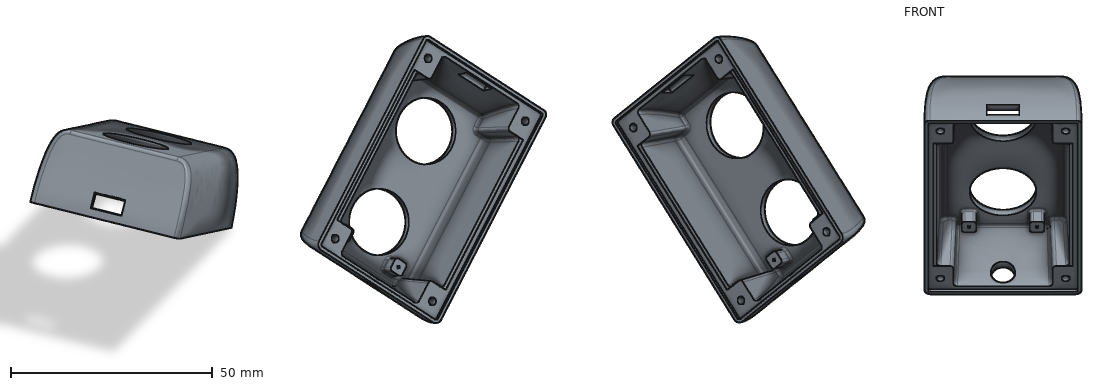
import cadquery as cq
import math

TILT = 45.0

LENGTH = 60.95
WIDTH = 39.0
DEPTH = 19.45
ROOF_EDGE_X = 13.95
SIDE_PULL = 15.7
SHOULDER_X = 17.85
END_PULL = 6.2
LOWER_LEAN = 5.1
UPPER_LEAN = 3.45
LOWER_END_FILLET = 1.75
UPPER_END_FILLET = 1.3

RIM = 0.9
SEAT_DEPTH = 1.0
SEAT_CORNER = 0.55

SIDE_WALL = 3.05
SIDE_WALL_LEAN = 0.8
END_WALL = 1.95
CAVITY_EXTRA_LEAN = 0.65
ROOF = 2.0
CAVITY_SHOULDER = 1.95
INNER_FILLET = 0.9
STEEP_EDGE = 5.4

RELIEF_INSET = 2.15
RELIEF_DEPTH = 0.1

POST_INNER_X = 12.3
POST_INNER_Y = 21.5
POST_DRAFT = 2.0
LID_HOLE_X = 15.5
LID_HOLE_Y = 25.8
LID_HOLE_DIAMETER = 2.0
LID_HOLE_DEPTH = 10.0

STUD_SIZE = 3.6
STUD_CORNER = 0.8
STUD_ROOT_FILLET = 0.65
STUD_LENGTH = 4.3
STUD_X = 8.45
STUD_Y = 20.0
STUD_HOLE_DIAMETER = 0.7
STUD_HOLE_DEPTH = 3.0

ROOF_HOLE_DIAMETER = 16.5
ROOF_HOLES_Y = (11.95, -14.05)
END_HOLE_DIAMETER = 6.0
END_HOLE_HEIGHT = 5.15
SLOT_WIDTH = 8.0
SLOT_HEIGHT = 4.0
SLOT_BOTTOM = 2.15

CEILING = DEPTH - ROOF
END_CUT = LENGTH / 2 - POST_INNER_Y


def between_ends(cross_section, inset, extra_lean):
    """Trim a block of XZ section, centred along Y, to the curved ends, moved in and leant further."""
    foot_y = LENGTH / 2 - inset
    lower_top = (foot_y - LOWER_LEAN - extra_lean, DEPTH)
    upper_top = (UPPER_LEAN + extra_lean - foot_y, DEPTH)
    lengthwise = (
        cq.Workplane("YZ", origin=(-WIDTH / 2, 0, 0))
        .moveTo(-foot_y, 0)
        .lineTo(foot_y, 0)
        .bezier([(foot_y, END_PULL), lower_top], includeCurrent=True)
        .lineTo(*upper_top)
        .bezier([(-foot_y, END_PULL), (-foot_y, 0)], includeCurrent=True)
        .close()
        .extrude(WIDTH)
    )
    return cross_section.extrude(LENGTH).intersect(lengthwise)


def cross_plane():
    """XZ plane at the lower end; sections extruded from it run the length of the case."""
    return cq.Workplane("XZ", origin=(0, LENGTH / 2, 0))


def outer_block():
    """Solid envelope: each side and its shoulder form one smooth curve into the flat roof."""
    foot_x = WIDTH / 2
    section = (
        cross_plane()
        .moveTo(-foot_x, 0)
        .lineTo(foot_x, 0)
        .bezier([(foot_x, SIDE_PULL), (SHOULDER_X, DEPTH), (ROOF_EDGE_X, DEPTH)], includeCurrent=True)
        .lineTo(-ROOF_EDGE_X, DEPTH)
        .bezier([(-SHOULDER_X, DEPTH), (-foot_x, SIDE_PULL), (-foot_x, 0)], includeCurrent=True)
        .close()
    )
    return between_ends(section, 0, 0)


def end_border(block, end):
    """Edges framing one end face, apart from the one on the open face."""
    edges = block.edges("not |X").vals() + block.edges("|X and >Z").vals()
    return [edge for edge in edges if end * edge.Center().y > POST_INNER_Y]


def outer_shell():
    """Envelope with the border of each end face rounded."""
    block = outer_block()
    for end, radius in ((1, LOWER_END_FILLET), (-1, UPPER_END_FILLET)):
        block = block.newObject(end_border(block, end)).fillet(radius)
    return block


def inner_block():
    """Envelope of the cavity: flat leaning walls rounded into the ceiling."""
    foot_x = WIDTH / 2 - SIDE_WALL
    top_x = foot_x - SIDE_WALL_LEAN
    corners = [(-foot_x, 0), (foot_x, 0), (top_x, CEILING), (-top_x, CEILING)]
    section = cross_plane().polyline(corners).close()
    return between_ends(section, END_WALL, CAVITY_EXTRA_LEAN).edges("|Y and >Z").fillet(CAVITY_SHOULDER)


def post_section(side, end, height):
    """Outline of a corner post at a given height; it grows inwards with height."""
    growth = (height - SEAT_DEPTH) * math.tan(math.radians(POST_DRAFT))
    inner_x = side * (POST_INNER_X - growth)
    inner_y = end * (POST_INNER_Y - growth)
    outer_x = side * WIDTH / 2
    outer_y = end * LENGTH / 2
    corners = [(inner_x, inner_y), (outer_x, inner_y), (outer_x, outer_y), (inner_x, outer_y)]
    return cq.Wire.makePolygon([cq.Vector(x, y, height) for x, y in corners], close=True)


def corner_post(side, end):
    """Post filling one cavity corner, widening towards the roof."""
    sections = [post_section(side, end, height) for height in (SEAT_DEPTH, DEPTH)]
    return cq.Workplane(cq.Solid.makeLoft(sections, True))


def fillet_where(body, edges, chosen):
    """Round those of the given edges whose centre passes the test."""
    picked = [edge for edge in edges.vals() if chosen(abs(edge.Center().x), abs(edge.Center().y))]
    return body.newObject(picked).fillet(INNER_FILLET)


def steep_edges(body):
    """Edges that climb at least the steep-edge height."""
    climbing = [edge for edge in body.edges().vals() if edge.BoundingBox().zlen > STEEP_EDGE]
    return body.newObject(climbing)


def cavity():
    """Hollow of the case: a smaller leaning block without the four posts."""
    hollow = inner_block()
    below_seat = cq.Workplane("XY").rect(WIDTH, LENGTH).extrude(SEAT_DEPTH)
    hollow = hollow.cut(below_seat)
    for side in (-1, 1):
        for end in (-1, 1):
            hollow = hollow.cut(corner_post(side, end))

    margin = 1.5 * INNER_FILLET

    def on_post_corner(x, y):
        return x < POST_INNER_X + margin and y < POST_INNER_Y + margin

    def off_post_corner(x, y):
        return not on_post_corner(x, y)

    def on_post_root(x, y):
        return x > POST_INNER_X - 2 * INNER_FILLET and y > POST_INNER_Y - INNER_FILLET

    hollow = fillet_where(hollow, steep_edges(hollow), on_post_corner)
    hollow = fillet_where(hollow, hollow.faces(">Z").edges(), on_post_root)
    return fillet_where(hollow, steep_edges(hollow), off_post_corner)


def lid_seat():
    """Recess around the open face, with a shallow relief along each long side."""
    seat = (
        cq.Workplane("XY")
        .rect(WIDTH - 2 * RIM, LENGTH - 2 * RIM)
        .extrude(SEAT_DEPTH)
        .edges("|Z")
        .fillet(SEAT_CORNER)
    )
    relief = (
        cq.Workplane("XY")
        .rect(WIDTH - 2 * RELIEF_INSET, 2 * POST_INNER_Y)
        .extrude(SEAT_DEPTH + RELIEF_DEPTH)
    )
    return seat.union(relief)


def stud(side):
    """Square stud with a flared root and a small blind hole in its tip."""
    tip = CEILING - STUD_LENGTH
    root_size = STUD_SIZE + 3 * STUD_ROOT_FILLET
    root_plate = (
        cq.Workplane("XY", origin=(0, 0, CEILING))
        .rect(root_size, root_size)
        .extrude(ROOF / 2)
    )
    flared = (
        root_plate.faces("<Z")
        .workplane()
        .sketch()
        .rect(STUD_SIZE, STUD_SIZE)
        .vertices()
        .fillet(STUD_CORNER)
        .finalize()
        .extrude(STUD_LENGTH)
    )
    reach = STUD_SIZE / 2 + STUD_ROOT_FILLET / 2
    at_root = cq.selectors.BoxSelector((-reach, -reach, CEILING - STUD_ROOT_FILLET), (reach, reach, DEPTH))
    hole = cq.Workplane("XY", origin=(0, 0, tip)).circle(STUD_HOLE_DIAMETER / 2).extrude(STUD_HOLE_DEPTH)
    return flared.edges(at_root).fillet(STUD_ROOT_FILLET).cut(hole).translate((side * STUD_X, STUD_Y, 0))


def round_holes():
    """Two holes through the roof, one through the lower end and four blind lid-screw holes."""
    roof_holes = (
        cq.Workplane("XY", origin=(0, 0, CEILING - ROOF / 2))
        .pushPoints([(0, y) for y in ROOF_HOLES_Y])
        .circle(ROOF_HOLE_DIAMETER / 2)
        .extrude(2 * ROOF)
    )
    lid_holes = (
        cq.Workplane("XY")
        .rect(2 * LID_HOLE_X, 2 * LID_HOLE_Y, forConstruction=True)
        .vertices()
        .circle(LID_HOLE_DIAMETER / 2)
        .extrude(SEAT_DEPTH + LID_HOLE_DEPTH)
    )
    end_hole = (
        cq.Workplane("XZ", origin=(0, LENGTH / 2, END_HOLE_HEIGHT))
        .circle(END_HOLE_DIAMETER / 2)
        .extrude(END_CUT)
    )
    return roof_holes.union(lid_holes).union(end_hole)


def cable_slot():
    """Rectangular slot through the upper end."""
    slot = cq.Workplane("XY").box(SLOT_WIDTH, END_CUT, SLOT_HEIGHT, centered=(True, False, False))
    return slot.translate((0, -LENGTH / 2, SLOT_BOTTOM))


case = outer_shell().cut(cavity()).cut(lid_seat())
for side in (-1, 1):
    case = case.union(stud(side))
case = case.cut(round_holes()).cut(cable_slot())

result = case.rotate((0, 0, 0), (1, 0, 0), -TILT)